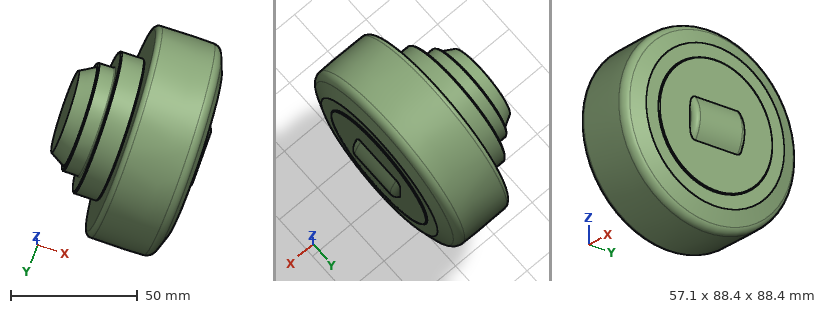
import cadquery as cq
import math

nose_length = 6.1
shank_end = 13.1
collar_end = 23.2
wheel_end = 53.4
cover_end = 53.9
total_length = 57.1

nose_radius = 17.1
nose_angle = 30
shank_radius = 45.0 / 2
collar_radius = 59.0 / 2
wheel_radius = 44.2
wheel_face_radius = 35.0
cover_radius = 57.8 / 2

edge_chamfer = 0.5
root_fillet = 0.5
cover_chamfer = 0.4
wheel_inner_round = 2.1
wheel_outer_round = 4.0
crown_drop = 0.2
outer_cone_angle = 69

roller_radius = 15.9
roller_length = 26.5
roller_round = 2.65
roller_center_x = total_length - roller_radius


def turned(profile):
    """Revolve a closed (x, radius) profile about the X axis."""
    return profile.close().revolve(360, (0, 0, 0), (1, 0, 0))


def make_hub():
    """Conical nose, shank with a filleted root, and chamfered collar."""
    nose_end_radius = nose_radius + nose_length * math.tan(math.radians(nose_angle))
    root_offset = root_fillet * (1 - math.sqrt(0.5))
    profile = (
        cq.Workplane("XY")
        .lineTo(0, nose_radius)
        .lineTo(nose_length, nose_end_radius)
        .lineTo(nose_length, shank_radius - edge_chamfer)
        .lineTo(nose_length + edge_chamfer, shank_radius)
        .lineTo(shank_end - root_fillet, shank_radius)
        .threePointArc(
            (shank_end - root_offset, shank_radius + root_offset),
            (shank_end, shank_radius + root_fillet),
        )
        .lineTo(shank_end, collar_radius - edge_chamfer)
        .lineTo(shank_end + edge_chamfer, collar_radius)
        .lineTo(collar_end - edge_chamfer, collar_radius)
        .lineTo(collar_end, collar_radius - edge_chamfer)
        .lineTo(collar_end, 0)
    )
    return turned(profile)


def make_wheel():
    """Crowned wheel with rounded rims and a shallow cone on the outer side."""
    rim_radius = wheel_radius - crown_drop
    cone_angle = math.radians(outer_cone_angle)

    cone_start_radius = rim_radius - wheel_outer_round * (1 - math.cos(cone_angle))
    cone_length = (cone_start_radius - wheel_face_radius) / math.tan(cone_angle)
    cone_start = wheel_end - cone_length
    crown_start = collar_end + wheel_inner_round
    crown_end = cone_start - wheel_outer_round * math.sin(cone_angle)
    inner_offset = wheel_inner_round * (1 - math.sqrt(0.5))
    outer_mid = (
        crown_end + wheel_outer_round * math.sin(cone_angle / 2),
        rim_radius - wheel_outer_round * (1 - math.cos(cone_angle / 2)),
    )
    profile = (
        cq.Workplane("XY")
        .moveTo(collar_end, 0)
        .lineTo(collar_end, rim_radius - wheel_inner_round)
        .threePointArc(
            (collar_end + inner_offset, rim_radius - inner_offset),
            (crown_start, rim_radius),
        )
        .threePointArc(((crown_start + crown_end) / 2, wheel_radius), (crown_end, rim_radius))
        .threePointArc(outer_mid, (cone_start, cone_start_radius))
        .lineTo(wheel_end, wheel_face_radius)
        .lineTo(wheel_end, 0)
    )
    return turned(profile)


def make_cover():
    """Thin chamfered cover disc on the outer wheel face."""
    return (
        cq.Workplane("YZ", origin=(wheel_end, 0, 0))
        .circle(cover_radius)
        .extrude(cover_end - wheel_end)
        .faces(">X")
        .chamfer(cover_chamfer)
    )


def make_roller():
    """Visible segment of the round-ended roller, cut off inside the wheel."""
    roller = (
        cq.Workplane("XZ", origin=(roller_center_x, 0, 0))
        .circle(roller_radius)
        .extrude(roller_length / 2, both=True)
        .edges("%CIRCLE")
        .fillet(roller_round)
    )
    segment_depth = total_length - wheel_end
    segment = cq.Workplane("XY").box(
        segment_depth, roller_length, 2 * roller_radius, centered=(False, True, True)
    )
    return roller.intersect(segment.translate((wheel_end, 0, 0)))


result = make_hub().union(make_wheel()).union(make_cover()).union(make_roller())